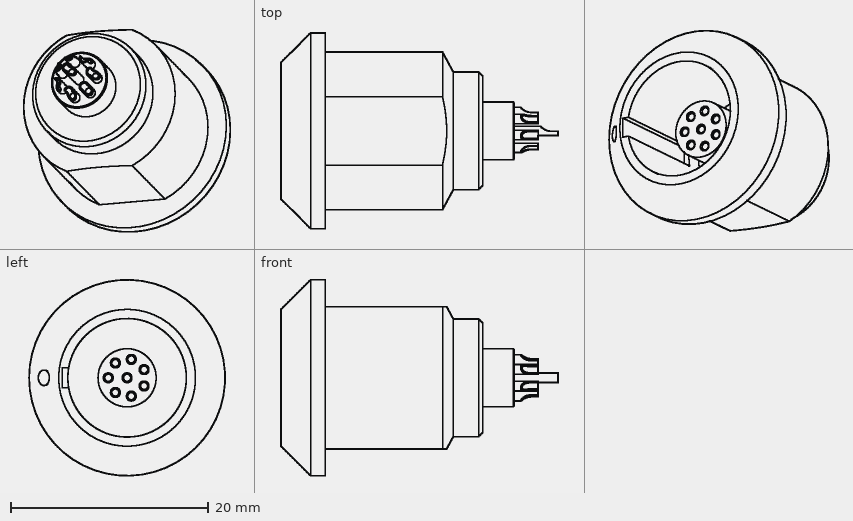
import cadquery as cq
import math


flange_radius = 9.95
face_radius = 6.95
cone_end = flange_radius - face_radius
flange_end = 4.5
body_radius = 8.0
body_end = 16.38
flat_half_height = 7.22
collar_radius = 5.99
collar_start = 17.48
collar_end = 20.48
collar_chamfer = 0.45

bore_radius = 6.0
shell_wall = body_radius - bore_radius
bore_depth = body_end - shell_wall
keyway_width = 2.0
keyway_outer = 6.58
keyway_depth = bore_depth - shell_wall

dimple_radius = 0.8
dimple_x = cone_end / 2
dimple_y = (flange_radius + face_radius) / 2

insert_radius = 2.95
insert_start = 4.45
insert_end = 23.63
insert_bevel_length = 0.07
insert_bevel_depth = 0.126

ring_count = 7
ring_radius = 1.9
contact_radius = 0.492
cup_radius = 0.35
ring_contact_end = 26.08
centre_contact_end = 28.1
contact_overlap = 0.28
window_length = 1.77
window_run = 1.07
window_floor = -0.03
socket_radius = 0.37
socket_mouth_radius = 0.492
socket_depth = 2.8


def revolve_about_x(points):
    """Turn a closed (x, radius) outline about the X axis."""
    return cq.Workplane("XY").polyline(points).close().revolve(360, (0, 0, 0), (1, 0, 0))


def rod(radius, start, end):
    return cq.Workplane("YZ", origin=(start, 0, 0)).circle(radius).extrude(end - start)


def make_shell():
    shell = revolve_about_x([
        (0, 0),
        (0, face_radius),
        (cone_end, flange_radius),
        (flange_end, flange_radius),
        (flange_end, body_radius),
        (body_end, body_radius),
        (collar_start, collar_radius),
        (collar_end - collar_chamfer, collar_radius),
        (collar_end, collar_radius - collar_chamfer),
        (collar_end, 0),
    ])
    body_length = collar_start - flange_end
    flat_cut = body_radius - flat_half_height
    for side in (1, -1):
        flat = cq.Workplane("XY").box(body_length, 2 * body_radius, flat_cut)
        middle = (flange_end + body_length / 2, 0, side * (flat_half_height + flat_cut / 2))
        shell = shell.cut(flat.translate(middle))
    keyway = cq.Workplane("XY").box(
        keyway_depth, keyway_outer, keyway_width, centered=(False, False, True)
    )
    dimple = cq.Workplane("XY").sphere(dimple_radius).translate((dimple_x, dimple_y, 0))
    return shell.cut(rod(bore_radius, 0, bore_depth)).cut(keyway).cut(dimple)


def make_insert():
    return revolve_about_x([
        (insert_start, 0),
        (insert_start, insert_radius),
        (insert_end - insert_bevel_length, insert_radius),
        (insert_end, insert_radius - insert_bevel_depth),
        (insert_end, 0),
    ])


def make_contact(end):
    """Contact tail on the X axis, with its solder cup open towards +Y."""
    window_start = end - window_length
    contact = rod(contact_radius, insert_end - contact_overlap, end)
    contact = contact.cut(rod(cup_radius, window_start, end))

    window_depth = contact_radius - window_floor
    arc_radius = (window_run**2 + window_depth**2) / (2 * window_depth)
    half_sweep = math.asin(window_run / arc_radius) / 2
    arc_middle = (
        window_start + window_run - arc_radius * math.sin(half_sweep),
        window_floor + arc_radius * (1 - math.cos(half_sweep)),
    )
    window = (
        cq.Workplane("XY")
        .moveTo(end, contact_radius)
        .lineTo(end, window_floor)
        .lineTo(window_start + window_run, window_floor)
        .threePointArc(arc_middle, (window_start, contact_radius))
        .close()
        .extrude(contact_radius, both=True)
    )
    return contact.cut(window)


def make_socket():
    """Countersunk contact hole entering the front face of the insert."""
    countersink = socket_mouth_radius - socket_radius
    return revolve_about_x([
        (insert_start, 0),
        (insert_start, socket_mouth_radius),
        (insert_start + countersink, socket_radius),
        (insert_start + socket_depth, socket_radius),
        (insert_start + socket_depth, 0),
    ])


result = make_shell().union(make_insert())
result = result.union(make_contact(centre_contact_end)).cut(make_socket())

ring_contact = make_contact(ring_contact_end).translate((0, ring_radius, 0))
ring_socket = make_socket().translate((0, ring_radius, 0))
for i in range(ring_count):
    angle = i * 360 / ring_count
    result = result.union(ring_contact.rotate((0, 0, 0), (1, 0, 0), angle))
    result = result.cut(ring_socket.rotate((0, 0, 0), (1, 0, 0), angle))